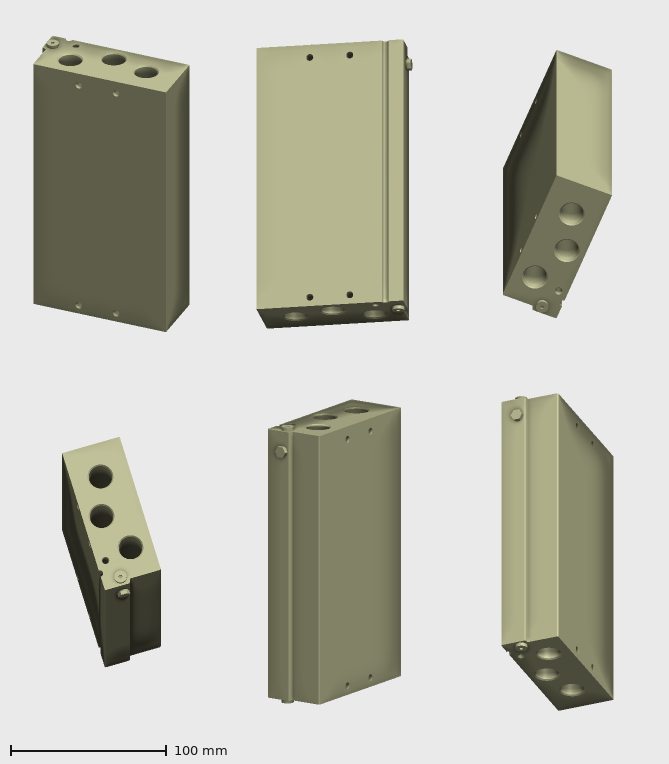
import cadquery as cq
import math


overall_length = 182.5
plug_head_height = 2.4
block_length = overall_length - 2 * plug_head_height
block_depth = 38.5
overall_width = 99.1
hex_head_height = 3.3
block_width = overall_width - hex_head_height
block_top = block_length / 2
left_face_x = -block_width

step_width = 3.0
step_inner_radius = 0.45
step_start_y = 22.0
step_outer_chamfer = 0.4
ramp_drop = 0.7
step_x = left_face_x + step_width
ramp_end_y = step_start_y - step_outer_chamfer - ramp_drop
left_edge_chamfer = 0.5

groove_x = -84.1
groove_diameter = 4.2
groove_depth = 2.2

port_centers = [(-73.2, 14.6), (-47.8, 26.5), (-22.3, 19.5)]
port_mouth_diameter = 16.6
port_taper_diameter = 15.0
port_diameter = 14.2
port_taper_length = 11.7
port_countersink_depth = (port_mouth_diameter - port_taper_diameter) / 2

pilot_center = (-76.8, 32.5)
pilot_diameter = 4.2
pilot_mouth_diameter = 5.0
pilot_countersink_depth = (pilot_mouth_diameter - pilot_diameter) / 2

mounting_hole_diameter = 4.5
mounting_hole_x = [-61.0, -34.9]
top_hole_inset = 8.5
bottom_hole_inset = 6.0

plug_y = 26.5
plug_neck_height = 0.7
end_plug_x = -90.5
end_plug_diameter = 8.0
end_plug_neck_diameter = 7.8
socket_diameter = 2.4
socket_depth = 1.5
side_plug_across_flats = 7.0
side_plug_neck_diameter = 7.0
side_plug_inset = 13.1


def block_profile():
    """Block cross-section with the stepped left side."""
    ramp_start = (left_face_x + step_outer_chamfer, step_start_y - step_outer_chamfer)
    return (
        cq.Workplane("XY")
        .workplane(offset=-block_top)
        .moveTo(0, 0)
        .lineTo(0, block_depth)
        .lineTo(left_face_x + left_edge_chamfer, block_depth)
        .lineTo(left_face_x, block_depth - left_edge_chamfer)
        .lineTo(left_face_x, step_start_y)
        .lineTo(*ramp_start)
        .lineTo(step_x, ramp_end_y)
        .lineTo(step_x, left_edge_chamfer)
        .lineTo(step_x + left_edge_chamfer, 0)
        .close()
    )


def back_groove():
    """Round groove along the back face, as a cutter."""
    radius = groove_diameter / 2
    return (
        cq.Workplane("XY")
        .workplane(offset=-block_top)
        .center(groove_x, block_depth - groove_depth + radius)
        .circle(radius)
        .extrude(block_length)
    )


def revolved_cutter(upper_half):
    """Cutter about the Z axis from (radius, height) points of its upper half, mirrored below."""
    lower_half = [(radius, -z) for radius, z in reversed(upper_half)]
    points = [(0, block_top)] + upper_half + lower_half + [(0, -block_top)]
    return cq.Workplane("XZ").polyline(points).close().revolve(360, (0, 0), (0, 1))


def port():
    """Port cutter on the Z axis: countersunk and tapered from both ends."""
    taper_top = block_top - port_countersink_depth
    bore_top = taper_top - port_taper_length
    return revolved_cutter(
        [
            (port_mouth_diameter / 2, block_top),
            (port_taper_diameter / 2, taper_top),
            (port_diameter / 2, bore_top),
        ]
    )


def pilot():
    """Pilot passage cutter on the Z axis, countersunk at both ends."""
    return revolved_cutter(
        [
            (pilot_mouth_diameter / 2, block_top),
            (pilot_diameter / 2, block_top - pilot_countersink_depth),
        ]
    )


def mounting_holes():
    """Four plain holes through the block from front to back, as a cutter."""
    top_z = block_top - top_hole_inset
    bottom_z = bottom_hole_inset - block_top
    centers = [(x, z) for x in mounting_hole_x for z in (top_z, bottom_z)]
    return (
        cq.Workplane("XZ")
        .pushPoints(centers)
        .circle(mounting_hole_diameter / 2)
        .extrude(-block_depth)
    )


def make_block():
    """Manifold block with its step, groove, ports, pilot passage and mounting holes."""
    step_corner = cq.selectors.NearestToPointSelector((step_x, ramp_end_y, 0))
    block = block_profile().extrude(block_length)
    block = block.edges(step_corner).fillet(step_inner_radius)
    block = block.cut(back_groove())
    for x, y in port_centers:
        block = block.cut(port().translate((x, y, 0)))
    block = block.cut(pilot().translate((*pilot_center, 0)))
    return block.cut(mounting_holes())


def make_end_plug(direction):
    """Round plug on the top (direction 1) or bottom (direction -1) end."""
    plug = (
        cq.Workplane("XY")
        .circle(end_plug_neck_diameter / 2)
        .extrude(plug_neck_height)
        .faces(">Z")
        .workplane()
        .circle(end_plug_diameter / 2)
        .extrude(plug_head_height - plug_neck_height)
        .faces(">Z")
        .workplane()
        .circle(socket_diameter / 2)
        .cutBlind(-socket_depth)
    )
    if direction < 0:
        plug = plug.mirror("XY")
    return plug.translate((end_plug_x, plug_y, direction * block_top))


def make_side_plug():
    """Hexagonal plug on the left face, with corners pointing front and back."""
    across_corners = side_plug_across_flats / math.cos(math.pi / 6)
    return (
        cq.Workplane("YZ")
        .circle(side_plug_neck_diameter / 2)
        .extrude(-plug_neck_height)
        .faces("<X")
        .workplane()
        .polygon(6, across_corners)
        .extrude(hex_head_height - plug_neck_height)
        .translate((left_face_x, plug_y, block_top - side_plug_inset))
    )


block = make_block()
end_plugs = [make_end_plug(direction) for direction in (1, -1)]
side_plug = make_side_plug()

result = cq.Compound.makeCompound(
    [block.val(), *[plug.val() for plug in end_plugs], side_plug.val()]
)